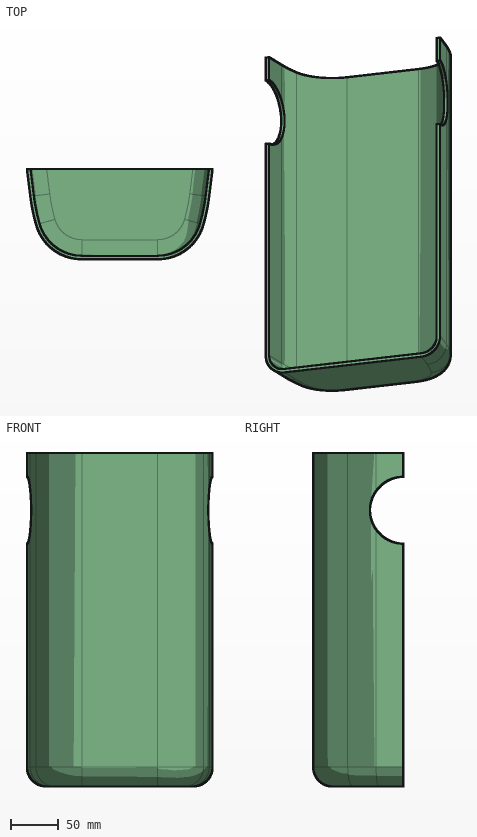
import cadquery as cq
import math

width = 195.0
depth = 95.0
height = 350.0
wall = 4.0
bottom_radius = 20.5

corner_radius = 50.0
side_radius = 200.0
corner_end_y = -58.5
side_end_y = -28.7

notch_radius = 35.0
notch_drop = 60.2

corner_y = corner_radius - depth
corner_angle = math.asin((corner_y - corner_end_y) / corner_radius)
side_y = corner_end_y + side_radius * math.sin(corner_angle)
side_angle = math.asin((side_y - side_end_y) / side_radius)

side_x = width / 2 + side_end_y * math.tan(side_angle) - side_radius * math.cos(side_angle)
corner_x = side_x + (side_radius - corner_radius) * math.cos(corner_angle)


def outline(inset):
    """Closed half-tub outline, moved inward from the outer face by inset."""

    def on_corner(angle):
        radius = corner_radius - inset
        return corner_x + radius * math.cos(angle), corner_y - radius * math.sin(angle)

    def on_side(angle):
        radius = side_radius - inset
        return side_x + radius * math.cos(angle), side_y - radius * math.sin(angle)

    def mirrored(point):
        return -point[0], point[1]

    back = (width / 2 - inset / math.cos(side_angle), 0)
    side_start = on_side(side_angle)
    side_middle = on_side((side_angle + corner_angle) / 2)
    corner_start = on_corner(corner_angle)
    corner_middle = on_corner((corner_angle + math.pi / 2) / 2)
    front = on_corner(math.pi / 2)

    return (
        cq.Workplane("XY")
        .moveTo(*back)
        .lineTo(*side_start)
        .threePointArc(side_middle, corner_start)
        .threePointArc(corner_middle, front)
        .lineTo(*mirrored(front))
        .threePointArc(mirrored(corner_middle), mirrored(corner_start))
        .threePointArc(mirrored(side_middle), mirrored(side_start))
        .lineTo(*mirrored(back))
        .close()
    )


def rounded_body(inset):
    """Solid with its base raised by inset and its bottom edge rounded, except at the back."""
    body = outline(inset).extrude(height - inset)
    bottom_edges = body.faces("<Z").edges().filter(lambda edge: edge.Center().y < -wall)
    body = body.newObject(bottom_edges.vals()).fillet(bottom_radius - inset)
    return body.translate((0, 0, inset))


shell = rounded_body(0).cut(rounded_body(wall))

notch = (
    cq.Workplane("YZ")
    .center(0, height - notch_drop)
    .circle(notch_radius)
    .extrude(width, both=True)
)

result = shell.cut(notch)